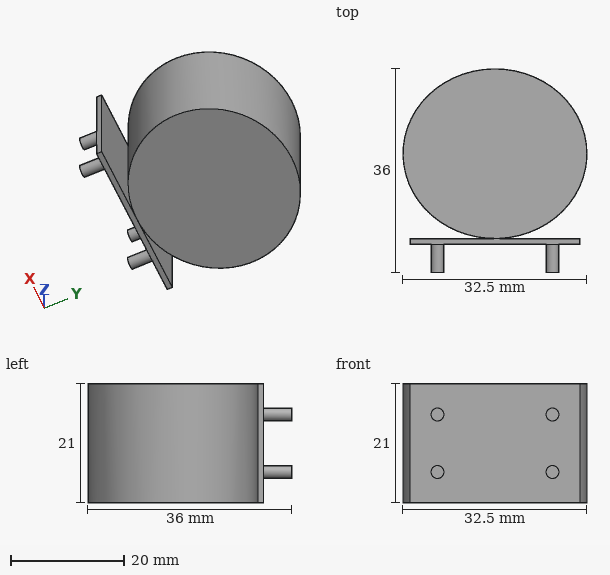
import cadquery as cq

total_depth = 35.98
height = 21.0

plate_thickness = 1.0
pin_length = 5.0
pin_diameter = 2.25
pin_spacing_x = 20.3
pin_spacing_z = 10.15

core_width = 32.5
core_depth = total_depth - plate_thickness - pin_length
plate_width = core_depth


def make_core():
    """Upright elliptical cylinder centred on the origin."""
    return (
        cq.Workplane("XY", origin=(0, 0, -height / 2))
        .ellipse(core_width / 2, core_depth / 2)
        .extrude(height)
    )


def make_base():
    """Plate touching the core along its -Y side, with four pins pointing to -Y."""
    plate_back_y = -core_depth / 2
    plate = (
        cq.Workplane("XZ", origin=(0, plate_back_y, 0))
        .rect(plate_width, height)
        .extrude(plate_thickness)
    )
    pins = (
        cq.Workplane("XZ", origin=(0, plate_back_y - plate_thickness, 0))
        .rarray(pin_spacing_x, pin_spacing_z, 2, 2)
        .circle(pin_diameter / 2)
        .extrude(pin_length)
    )
    return plate.union(pins)


core = make_core()
base = make_base()

result = cq.Compound.makeCompound([core.val(), base.solids().val()])